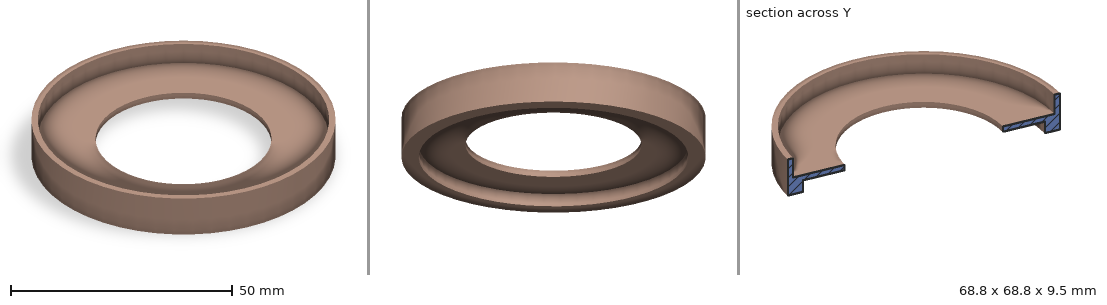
import cadquery as cq

outer_diameter = 68.8
height = 9.5

upper_recess_diameter = 65.9
upper_recess_depth = 5.0

bore_diameter = 39.8
floor_thickness = 1.5

lower_recess_diameter = 61.0

floor_top = height - upper_recess_depth
floor_bottom = floor_top - floor_thickness


def disc(diameter, bottom, top):
    """Solid disc on the Z axis between two heights."""
    return cq.Workplane("XY").workplane(offset=bottom).circle(diameter / 2).extrude(top - bottom)


body = disc(outer_diameter, 0, height)
upper_recess = disc(upper_recess_diameter, floor_top, height)
bore = disc(bore_diameter, 0, height)
lower_recess = disc(lower_recess_diameter, 0, floor_bottom)

result = body.cut(upper_recess).cut(bore).cut(lower_recess)